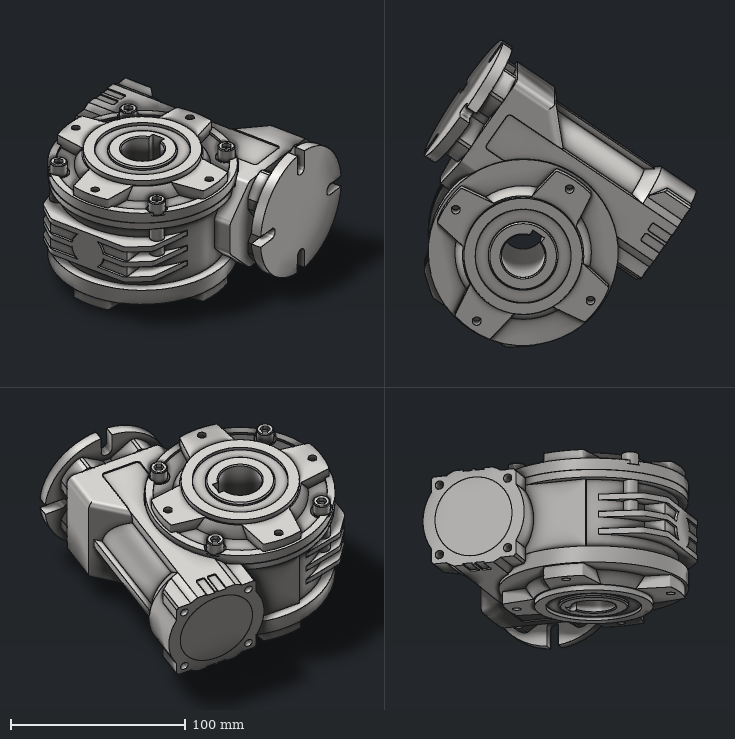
import cadquery as cq
import math


UNIT_HALF_HEIGHT = 41.0
BOSS_RADIUS = 34.01
SEAL_RECESS_DIAMETER = 55.0
SEAL_RECESS_DEPTH = 2.0
PAD_FACE_Z = 37.7
DISC_RADIUS = 54.52
COVER_RIM_Z = 31.9
COVER_SEAT_Z = 25.1
DISC_FACE_Z = 30.3
DISC_INNER_Z = 20.7
SEAT_FLANGE_RADIUS = 54.2
RIM_INNER_RADIUS = 50.0
COVER_CLEARANCE = 0.65
BARREL_RADIUS = 48.74
CONE_BASE_RADIUS = 39.1
CONE_TOP_RADIUS = 34.8

PAD_COUNT = 4
PAD_END_RADIUS = 52.9
PAD_END_HALF_WIDTH = 12.3
PAD_ROOT_RADIUS = 21.7
PAD_ROOT_HALF_WIDTH = 16.9
PAD_CORNER_RADIUS = 1.2
PAD_HOLE_DIAMETER = 4.9
PAD_HOLE_CIRCLE_RADIUS = 47.0
PAD_HOLE_DEPTH = 11.5

SCREW_OFFSET = 34.5
SCREW_HEAD_DIAMETER = 10.0
SCREW_HEAD_CHAMFER = 0.6
SCREW_SOCKET_CORNERS = 5.8
SCREW_SOCKET_DEPTH = 2.9
SPOT_FACE_DIAMETER = 12.5
SPOT_FACE_Z = 29.8
SCREW_BOSS_OFFSET = 35.1
SCREW_BOSS_DIAMETER = 8.7

FIN_FACE_Y = -54.5
FIN_THICKNESS = 3.5
FIN_PITCH = 10.3
FIN_ROOT = (45.0, -18.9)
FIN_SHOULDER = (38.8, -44.2)
FIN_TIP_HALF_WIDTH = 25.9
FIN_CORNER_RADIUS = 5.8
WEB_HALF_WIDTH = 26.93
WEB_FACE_Y = -53.0
FIN_PAD_RADIUS = 11.05

WORM_Y = 50.0
END_X = -65.0
WORM_CASE_RADIUS = 30.9
WORM_CASE_SHOULDER_X = -40.6
WORM_CASE_TAPER_END_X = -32.8
WORM_TUBE_RADIUS = 25.1
LUG_HALF_WIDTH_Y = 25.9
LUG_HALF_WIDTH_Z = 26.07
LUG_CHAMFER = 1.3
LUG_OUTER_END_X = -48.1
LUG_INNER_END_X = -41.3
LUG_INNER_HALF_WIDTH = 18.0
STRIP_HALF_WIDTH = 12.1
STRIP_HALF_HEIGHT = 28.52
STRIP_END_X = 52.9
STRIP_CORNER_RADIUS = 2.2
GROOVE_END_X = -51.5
GROOVE_DEPTH = 0.9
GROOVE_WIDTH = 5.3
GROOVE_SPACING = 7.2
GROOVE_CORNER_RADIUS = 1.0
RIB_EDGE_Y = 78.4
RIB_THICKNESS = 5.8
END_HOLE_DIAMETER = 4.9
END_HOLE_OFFSET = 20.8
END_HOLE_DEPTH = 14.5
CAP_DIAMETER = 47.0
CAP_THICKNESS = 7.2
SIDE_FLAT_X = -49.0
SIDE_FLAT_FRONT_Y = -12.4

BLOCK_FACE_X = 59.6
BLOCK_BACK_Y = 80.8
BLOCK_FRONT_Y = 2.6
BLOCK_HALF_HEIGHT = 29.5
BLOCK_FRONT_HALF_HEIGHT = 10.1
BLOCK_BACK_EDGE_X = 33.6
BLOCK_EDGE_RADIUS = 5.0

NECK_END_X = 69.3
FLANGE_END_X = 76.0
FLANGE_RADIUS = 40.0
SLOT_COUNT = 4
SLOT_WIDTH = 7.0
SLOT_CENTRE_RADIUS = 29.0
NECK_HALF_HEIGHT = 30.6
NECK_HALF_WIDTH = 29.6
NECK_SIDE_VALLEY = 23.1
NECK_TOP_VALLEY = 22.0

SHAFT_DIAMETER = 40.0
SHAFT_END_CHAMFER = 0.9
BORE_DIAMETER = 25.0
BORE_CHAMFER = 0.7
KEYWAY_WIDTH = 8.0
KEYWAY_TOP_Y = 15.7


def disc(radius, z_low, z_high):
    """A cylinder about the output axis."""
    return cq.Workplane("XY").workplane(offset=z_low).circle(radius).extrude(z_high - z_low)


def block(x_low, x_high, y_low, y_high, z_low, z_high):
    """An axis-parallel box between the given limits."""
    return cq.Workplane("XY").box(
        x_high - x_low, y_high - y_low, z_high - z_low, centered=False
    ).translate((x_low, y_low, z_low))


def mirrored_in_z(shape):
    return shape.union(shape.mirror("XY"))


def worm_plane(x):
    """A plane across the worm axis: local x is Y, local y is Z."""
    return cq.Workplane("YZ", origin=(x, WORM_Y, 0))


def mounting_pad():
    """One tapered pad, pointing along +Y, with an arc-shaped outer end."""
    pad_end_y = math.sqrt(PAD_END_RADIUS**2 - PAD_END_HALF_WIDTH**2)
    pad = (
        cq.Workplane("XY")
        .workplane(offset=COVER_SEAT_Z)
        .moveTo(-PAD_ROOT_HALF_WIDTH, PAD_ROOT_RADIUS)
        .lineTo(-PAD_END_HALF_WIDTH, pad_end_y)
        .threePointArc((0, PAD_END_RADIUS), (PAD_END_HALF_WIDTH, pad_end_y))
        .lineTo(PAD_ROOT_HALF_WIDTH, PAD_ROOT_RADIUS)
        .close()
        .extrude(PAD_FACE_Z - COVER_SEAT_Z)
    )
    return pad.edges("|Z").edges(">Y or (not <Y)").fillet(PAD_CORNER_RADIUS)


def output_face():
    """Cone, boss and four pads of the upper side."""
    cone = (
        cq.Workplane("XY")
        .workplane(offset=DISC_FACE_Z)
        .circle(CONE_BASE_RADIUS)
        .workplane(offset=PAD_FACE_Z - DISC_FACE_Z)
        .circle(CONE_TOP_RADIUS)
        .loft()
    )
    face = cone.union(disc(BOSS_RADIUS, COVER_SEAT_Z, UNIT_HALF_HEIGHT))
    for index in range(PAD_COUNT):
        face = face.union(mounting_pad().rotate((0, 0, 0), (0, 0, 1), index * 360 / PAD_COUNT))
    return face


def raised_rim():
    """Ring around the cover face, interrupted at the screws."""
    return disc(DISC_RADIUS, DISC_FACE_Z, COVER_RIM_Z).cut(
        disc(RIM_INNER_RADIUS, DISC_FACE_Z, COVER_RIM_Z)
    )


def at_screws(workplane):
    return workplane.rect(2 * SCREW_OFFSET, 2 * SCREW_OFFSET, forConstruction=True).vertices()


def spot_faces():
    plane = cq.Workplane("XY").workplane(offset=SPOT_FACE_Z)
    return at_screws(plane).circle(SPOT_FACE_DIAMETER / 2).extrude(PAD_FACE_Z - SPOT_FACE_Z)


def screw_heads():
    plane = cq.Workplane("XY").workplane(offset=COVER_SEAT_Z)
    heads = at_screws(plane).circle(SCREW_HEAD_DIAMETER / 2).extrude(PAD_FACE_Z - COVER_SEAT_Z)
    heads = heads.faces(">Z").edges().chamfer(SCREW_HEAD_CHAMFER)
    top_plane = cq.Workplane("XY").workplane(offset=PAD_FACE_Z)
    sockets = at_screws(top_plane).polygon(6, SCREW_SOCKET_CORNERS).extrude(-SCREW_SOCKET_DEPTH)
    return heads.cut(sockets)


def pad_holes():
    holes = (
        cq.Workplane("XY")
        .workplane(offset=PAD_FACE_Z)
        .polarArray(PAD_HOLE_CIRCLE_RADIUS, 0, 360, PAD_COUNT)
        .circle(PAD_HOLE_DIAMETER / 2)
        .extrude(-PAD_HOLE_DEPTH)
    )
    return mirrored_in_z(holes)


def screw_bosses():
    """Round bosses that take the front screws, ending on the middle fin."""
    return (
        cq.Workplane("XY")
        .pushPoints([(-SCREW_BOSS_OFFSET, -SCREW_BOSS_OFFSET), (SCREW_BOSS_OFFSET, -SCREW_BOSS_OFFSET)])
        .circle(SCREW_BOSS_DIAMETER / 2)
        .extrude(DISC_INNER_Z)
    )


def fin():
    outline = [
        (-FIN_ROOT[0], FIN_ROOT[1]),
        (-FIN_SHOULDER[0], FIN_SHOULDER[1]),
        (-FIN_TIP_HALF_WIDTH, FIN_FACE_Y),
        (FIN_TIP_HALF_WIDTH, FIN_FACE_Y),
        FIN_SHOULDER,
        FIN_ROOT,
    ]
    plate = cq.Workplane("XY").polyline(outline).close().extrude(FIN_THICKNESS / 2, both=True)
    return plate.edges("|Z and (not >Y)").fillet(FIN_CORNER_RADIUS)


def finned_front():
    """Three fins, the web that joins them and a round pad flush with their tips."""
    half_span = FIN_PITCH + FIN_THICKNESS / 2
    front = block(-WEB_HALF_WIDTH, WEB_HALF_WIDTH, WEB_FACE_Y, 0, -FIN_PITCH, FIN_PITCH)
    pad = (
        cq.Workplane("XZ", origin=(0, 0, 0))
        .circle(FIN_PAD_RADIUS)
        .extrude(-FIN_FACE_Y)
        .intersect(block(-FIN_PAD_RADIUS, FIN_PAD_RADIUS, FIN_FACE_Y, 0, -half_span, half_span))
    )
    front = front.union(pad)
    for level in (-FIN_PITCH, 0, FIN_PITCH):
        front = front.union(fin().translate((0, 0, level)))
    return front


def corner_lugs():
    """Square corners of the worm case, cut off obliquely behind the end holes."""
    square = (
        worm_plane(END_X)
        .rect(2 * LUG_HALF_WIDTH_Y, 2 * LUG_HALF_WIDTH_Z)
        .extrude(LUG_INNER_END_X - END_X)
        .edges("|X")
        .chamfer(LUG_CHAMFER)
    )
    plan = [
        (END_X, LUG_HALF_WIDTH_Y),
        (LUG_OUTER_END_X, LUG_HALF_WIDTH_Y),
        (LUG_INNER_END_X, LUG_INNER_HALF_WIDTH),
        (LUG_INNER_END_X, -LUG_INNER_HALF_WIDTH),
        (LUG_OUTER_END_X, -LUG_HALF_WIDTH_Y),
        (END_X, -LUG_HALF_WIDTH_Y),
    ]
    envelope = (
        cq.Workplane("XY", origin=(0, WORM_Y, 0))
        .polyline(plan)
        .close()
        .extrude(LUG_HALF_WIDTH_Z, both=True)
    )
    return square.intersect(envelope)


def worm_case():
    """Round case with a flat top and bottom, tapering into the worm tube."""
    case = worm_plane(END_X).circle(WORM_CASE_RADIUS).extrude(WORM_CASE_SHOULDER_X - END_X)
    taper = (
        worm_plane(WORM_CASE_SHOULDER_X)
        .circle(WORM_CASE_RADIUS)
        .workplane(offset=WORM_CASE_TAPER_END_X - WORM_CASE_SHOULDER_X)
        .circle(WORM_TUBE_RADIUS)
        .loft()
    )
    tube = worm_plane(WORM_CASE_TAPER_END_X).circle(WORM_TUBE_RADIUS).extrude(
        BLOCK_BACK_EDGE_X - WORM_CASE_TAPER_END_X
    )
    strip = (
        worm_plane(END_X)
        .rect(2 * STRIP_HALF_WIDTH, 2 * STRIP_HALF_HEIGHT)
        .extrude(STRIP_END_X - END_X)
    )
    rib = block(
        WORM_CASE_SHOULDER_X, BLOCK_BACK_EDGE_X, WORM_Y, RIB_EDGE_Y, -RIB_THICKNESS / 2, RIB_THICKNESS / 2
    )
    limits = worm_plane(END_X).rect(4 * WORM_CASE_RADIUS, 2 * STRIP_HALF_HEIGHT).extrude(-2 * END_X)
    return case.union(taper).union(tube).union(rib).union(corner_lugs()).intersect(limits).union(strip)


def input_block():
    """Block at the input end: sloped towards the front, cut at 45 degrees at the back."""
    slope = BLOCK_HALF_HEIGHT - BLOCK_FRONT_HALF_HEIGHT
    section = [
        (BLOCK_FRONT_Y, -BLOCK_FRONT_HALF_HEIGHT),
        (BLOCK_FRONT_Y + slope, -BLOCK_HALF_HEIGHT),
        (BLOCK_BACK_Y, -BLOCK_HALF_HEIGHT),
        (BLOCK_BACK_Y, BLOCK_HALF_HEIGHT),
        (BLOCK_FRONT_Y + slope, BLOCK_HALF_HEIGHT),
        (BLOCK_FRONT_Y, BLOCK_FRONT_HALF_HEIGHT),
    ]
    body = cq.Workplane("YZ").polyline(section).close().extrude(BLOCK_FACE_X)
    oblique_cut = (
        cq.Workplane("XY")
        .polyline(
            [
                (BLOCK_BACK_EDGE_X, BLOCK_BACK_Y),
                (0, BLOCK_BACK_Y - BLOCK_BACK_EDGE_X),
                (0, BLOCK_BACK_Y),
            ]
        )
        .close()
        .extrude(BLOCK_HALF_HEIGHT, both=True)
    )
    body = body.cut(oblique_cut)
    oblique_edges = cq.selectors.ParallelDirSelector(cq.Vector(1, 1, 0))
    return body.edges("|X").add(body.edges(oblique_edges)).fillet(BLOCK_EDGE_RADIUS)


def face_recesses():
    """Shallow recess in the block face, level with the strip, and two grooves at the end."""
    recess = block(
        0,
        STRIP_END_X,
        WORM_Y - STRIP_HALF_WIDTH,
        WORM_Y + STRIP_HALF_WIDTH,
        STRIP_HALF_HEIGHT,
        BLOCK_HALF_HEIGHT,
    )
    cutters = recess.edges("|Z and >X").fillet(STRIP_CORNER_RADIUS)
    for side in (-1, 1):
        centre_y = WORM_Y + side * GROOVE_SPACING / 2
        groove = block(
            END_X,
            GROOVE_END_X,
            centre_y - GROOVE_WIDTH / 2,
            centre_y + GROOVE_WIDTH / 2,
            STRIP_HALF_HEIGHT - GROOVE_DEPTH,
            STRIP_HALF_HEIGHT,
        )
        cutters = cutters.union(groove.edges("|Z and >X").fillet(GROOVE_CORNER_RADIUS))
    return mirrored_in_z(cutters)


def end_holes():
    return (
        worm_plane(END_X)
        .rect(2 * END_HOLE_OFFSET, 2 * END_HOLE_OFFSET, forConstruction=True)
        .vertices()
        .circle(END_HOLE_DIAMETER / 2)
        .extrude(END_HOLE_DEPTH)
    )


def neck():
    """Neck of the flange: four corner lobes with V-shaped valleys between them."""
    quarter = (
        worm_plane(BLOCK_FACE_X)
        .moveTo(0, 0)
        .lineTo(NECK_SIDE_VALLEY, 0)
        .lineTo(NECK_SIDE_VALLEY, 2.2)
        .lineTo(NECK_HALF_WIDTH, 11.5)
        .lineTo(NECK_HALF_WIDTH, 18.3)
        .threePointArc((26.5, 23.8), (19.8, 29.8))
        .lineTo(17.6, NECK_HALF_HEIGHT)
        .lineTo(15.6, NECK_HALF_HEIGHT)
        .lineTo(2.3, NECK_TOP_VALLEY)
        .lineTo(0, NECK_TOP_VALLEY)
        .close()
        .extrude(NECK_END_X - BLOCK_FACE_X)
    )
    half = mirrored_in_z(quarter)
    return half.union(half.mirror("XZ", (0, WORM_Y, 0)))


def flange():
    """Slotted round plate on its neck."""
    thickness = FLANGE_END_X - NECK_END_X
    plate = worm_plane(NECK_END_X).circle(FLANGE_RADIUS).extrude(thickness)
    slot = (
        worm_plane(NECK_END_X)
        .center(0, SLOT_CENTRE_RADIUS + FLANGE_RADIUS)
        .slot2D(2 * FLANGE_RADIUS + SLOT_WIDTH, SLOT_WIDTH, 90)
        .extrude(thickness)
    )
    for index in range(SLOT_COUNT):
        plate = plate.cut(slot.rotate((0, WORM_Y, 0), (1, WORM_Y, 0), index * 360 / SLOT_COUNT))
    return plate.union(neck())


def make_cap():
    """Round cap that closes the worm case, flush with its end."""
    return worm_plane(END_X).circle(CAP_DIAMETER / 2).extrude(CAP_THICKNESS)


def make_output_shaft():
    """Hollow shaft with a keyway, as long as the unit is high."""
    shaft = disc(SHAFT_DIAMETER / 2, -UNIT_HALF_HEIGHT, UNIT_HALF_HEIGHT)
    shaft = shaft.faces("<Z or >Z").edges().chamfer(SHAFT_END_CHAMFER)
    bore = disc(BORE_DIAMETER / 2, -UNIT_HALF_HEIGHT, UNIT_HALF_HEIGHT)
    shaft = shaft.cut(bore)
    shaft = shaft.faces("<Z or >Z").edges("%CIRCLE").edges(
        cq.selectors.RadiusNthSelector(0)
    ).chamfer(BORE_CHAMFER)
    keyway = block(
        -KEYWAY_WIDTH / 2, KEYWAY_WIDTH / 2, 0, KEYWAY_TOP_Y, -UNIT_HALF_HEIGHT, UNIT_HALF_HEIGHT
    )
    return shaft.cut(keyway)


def make_housing():
    shell = disc(BARREL_RADIUS, -DISC_INNER_Z, DISC_INNER_Z)
    shell = shell.union(finned_front()).union(screw_bosses())
    side_flat = block(SIDE_FLAT_X, 0, SIDE_FLAT_FRONT_Y, WORM_Y, -DISC_INNER_Z, DISC_INNER_Z)
    shell = shell.union(side_flat)
    shell = shell.union(worm_case()).union(input_block())
    shell = shell.cut(face_recesses()).cut(end_holes())
    shell = shell.cut(disc(DISC_RADIUS + COVER_CLEARANCE, COVER_SEAT_Z, COVER_RIM_Z))
    shell = shell.union(disc(SEAT_FLANGE_RADIUS, DISC_INNER_Z, COVER_SEAT_Z))
    shell = shell.union(disc(DISC_RADIUS, COVER_SEAT_Z, DISC_FACE_Z))
    shell = shell.union(disc(DISC_RADIUS, -DISC_FACE_Z, -DISC_INNER_Z))
    shell = shell.union(raised_rim()).union(mirrored_in_z(output_face()))
    shell = shell.cut(spot_faces()).union(screw_heads()).cut(pad_holes())
    recess = disc(
        SEAL_RECESS_DIAMETER / 2, UNIT_HALF_HEIGHT - SEAL_RECESS_DEPTH, UNIT_HALF_HEIGHT
    )
    shell = shell.cut(mirrored_in_z(recess))
    shell = shell.cut(disc(SHAFT_DIAMETER / 2, -UNIT_HALF_HEIGHT, UNIT_HALF_HEIGHT))
    return shell.union(flange()).cut(make_cap())


housing = make_housing()
output_shaft = make_output_shaft()
cap = make_cap()
result = cq.Compound.makeCompound([housing.val(), output_shaft.val(), cap.val()])